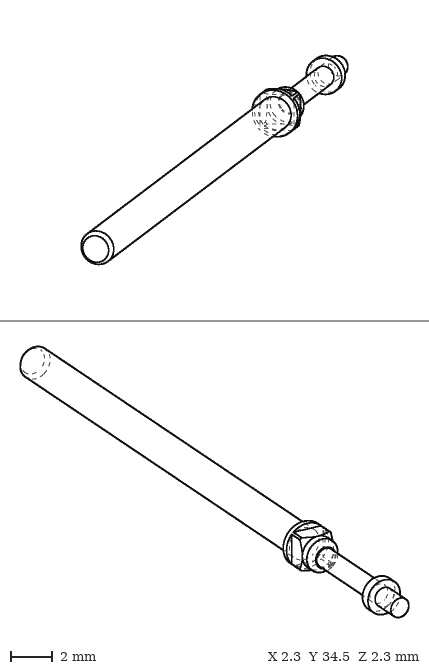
import cadquery as cq

total_length = 34.5
tail_y = -total_length / 2
tip_y = total_length / 2

barrel_diameter = 1.65
tail_chamfer_length = 0.25
tail_chamfer_depth = 0.17

flange_diameter = 2.3
flange_thickness = 0.3
flange_front_y = 8.55

square_width = 1.72
corner_diameter = flange_diameter
square_length = 1.0
corner_cone_length = 0.25

shoulder_length = 0.4
shoulder_cone_length = 0.3
shoulder_nose_diameter = 1.1

plunger_diameter = 1.0
collar_diameter = 1.8
collar_width = 0.52
tip_length = 1.5

flange_back_y = flange_front_y - flange_thickness
square_front_y = flange_front_y + square_length
shoulder_front_y = square_front_y + shoulder_length
nose_y = shoulder_front_y + shoulder_cone_length


def cylinder(diameter, start_y, end_y):
    """Round bar on the Y axis from start_y up to end_y."""
    bar = cq.Workplane("XZ", origin=(0, end_y, 0))
    return bar.circle(diameter / 2).extrude(end_y - start_y)


def revolve_about_y(profile):
    """Turned solid from a closed list of (radius, y) points."""
    return cq.Workplane("XY").polyline(profile).close().revolve(360, (0, 0), (0, 1))


def make_barrel():
    radius = barrel_diameter / 2
    return revolve_about_y([
        (0, tail_y),
        (radius - tail_chamfer_depth, tail_y),
        (radius, tail_y + tail_chamfer_length),
        (radius, flange_back_y),
        (0, flange_back_y),
    ])


def make_square_section():
    blank = revolve_about_y([
        (0, flange_front_y),
        (corner_diameter / 2, flange_front_y),
        (corner_diameter / 2, square_front_y - corner_cone_length),
        (square_width / 2, square_front_y),
        (0, square_front_y),
    ])
    square_bar = cq.Workplane("XZ", origin=(0, square_front_y, 0))
    square_bar = square_bar.rect(square_width, square_width).extrude(square_length)
    return blank.intersect(square_bar)


def make_shoulder():
    return revolve_about_y([
        (0, square_front_y),
        (square_width / 2, square_front_y),
        (square_width / 2, shoulder_front_y),
        (shoulder_nose_diameter / 2, nose_y),
        (0, nose_y),
    ])


def make_plunger():
    collar_front_y = tip_y - tip_length
    stem = cylinder(plunger_diameter, nose_y, tip_y)
    return stem.union(cylinder(collar_diameter, collar_front_y - collar_width, collar_front_y))


flange = cylinder(flange_diameter, flange_back_y, flange_front_y)

result = (
    make_barrel()
    .union(flange)
    .union(make_square_section())
    .union(make_shoulder())
    .union(make_plunger())
)